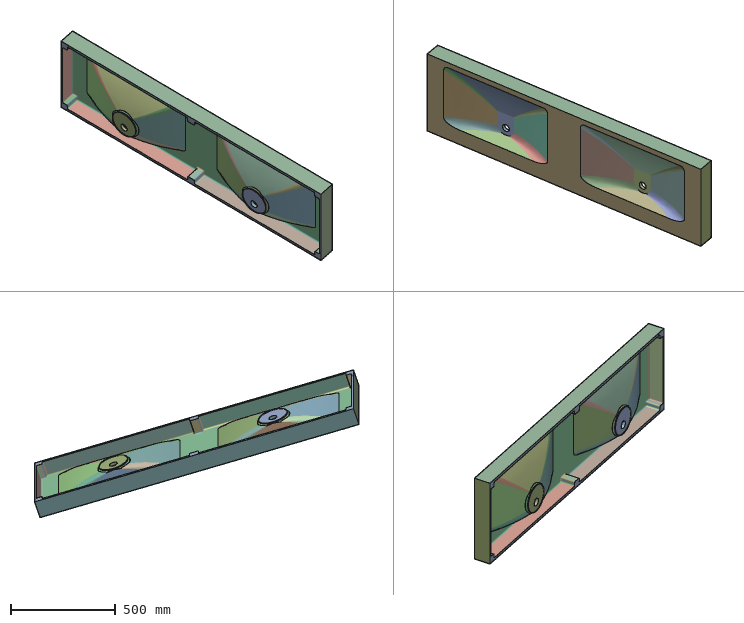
import cadquery as cq

LENGTH = 1602.0
HEIGHT = 460.0
BODY_DEPTH = 87.0
PLATE = 10.0
END_WALL = 10.0
LONG_WALL = 15.0
EDGE_ROUND = 6.0
FLOOR_Y = BODY_DEPTH - PLATE

BLOCK_REACH = 38.0
MIDDLE_BLOCK_WIDTH = 43.0

BASIN_SPACING = LENGTH / 2
BASIN_HALF_WIDTH = 305.0
BASIN_TOP = 430.0
BASIN_BOTTOM = 77.0
PLATEAU_Y = -8.0
PLATEAU_HALF_WIDTH = 48.0
PLATEAU_TOP = 220.0
WALL_BULGE = 0.6
WALL_STEPS = 4
BASIN_WALL = PLATE
BOWL_FLOOR_Y = PLATEAU_Y + BASIN_WALL
LOWER_WALL_LEAN = 10.0
LOWER_ROUND_HEIGHT = 35.0
LOWER_ROUND_WIDTH_MOUTH = 88.0
LOWER_ROUND_WIDTH_PLATEAU = 46.0
UPPER_ROUND_MOUTH = 25.0
UPPER_ROUND_PLATEAU = 3.0
QUARTER_ELLIPSE = 0.552

BOSS_Z = 159.0
BOSS_RADIUS = 72.0
BOSS_BASE_RADIUS = 82.0
BOSS_FOOT_Y = -3.0
BOSS_STEP_Y = -11.0
BOSS_Y = -16.0
OUTLET_Z = 138.0
OUTLET_RADIUS = 20.0


def box(x_min, x_max, y_min, y_max, z_min, z_max):
    size = (x_max - x_min, y_max - y_min, z_max - z_min)
    return cq.Workplane("XY").box(*size, centered=False).translate((x_min, y_min, z_min))


def tray_pocket():
    """Space inside the tray, notched around the corner and middle blocks."""
    half = LENGTH / 2
    pocket = box(END_WALL - half, half - END_WALL, 0, FLOOR_Y, LONG_WALL, HEIGHT - LONG_WALL)
    blocks = (
        (-half, BLOCK_REACH - half),
        (-MIDDLE_BLOCK_WIDTH / 2, MIDDLE_BLOCK_WIDTH / 2),
        (half - BLOCK_REACH, half),
    )
    for x_min, x_max in blocks:
        pocket = pocket.cut(box(x_min, x_max, 0, FLOOR_Y, 0, BLOCK_REACH))
        pocket = pocket.cut(box(x_min, x_max, 0, FLOOR_Y, HEIGHT - BLOCK_REACH, HEIGHT))
    return pocket.edges("|Y").fillet(EDGE_ROUND).faces(">Y").edges().fillet(EDGE_ROUND)


def toward(start, end, fraction):
    return start + (end - start) * fraction


def quarter_round(start, corner, end):
    """Control points of a cubic curve that closely follows a quarter ellipse between two sides."""
    near_start = tuple(toward(a, b, QUARTER_ELLIPSE) for a, b in zip(start, corner))
    near_end = tuple(toward(a, b, QUARTER_ELLIPSE) for a, b in zip(end, corner))
    return [start, near_start, near_end, end]


def basin_body(mouth_y, plateau_y, bottom_z):
    """Dome about X = 0: sections across Y shrink evenly while its walls flatten toward the plateau."""
    sections = []
    for step in range(WALL_STEPS + 1):
        fraction = step / WALL_STEPS
        depth = fraction + WALL_BULGE * fraction * (1 - fraction)
        y = toward(mouth_y, plateau_y, depth)
        side = toward(BASIN_HALF_WIDTH, PLATEAU_HALF_WIDTH, fraction)
        top = toward(BASIN_TOP, PLATEAU_TOP, fraction)
        low = toward(bottom_z, bottom_z + LOWER_WALL_LEAN, fraction)
        upper_round = toward(UPPER_ROUND_MOUTH, UPPER_ROUND_PLATEAU, fraction)
        round_width = toward(LOWER_ROUND_WIDTH_MOUTH, LOWER_ROUND_WIDTH_PLATEAU, fraction)
        low_left = quarter_round((-side, low + LOWER_ROUND_HEIGHT), (-side, low), (round_width - side, low))
        low_right = quarter_round((side - round_width, low), (side, low), (side, low + LOWER_ROUND_HEIGHT))
        top_right = quarter_round((side, top - upper_round), (side, top), (side - upper_round, top))
        top_left = quarter_round((upper_round - side, top), (-side, top), (-side, top - upper_round))
        outline = (
            cq.Workplane("XZ", origin=(0, y, 0))
            .moveTo(*low_left[0])
            .bezier(low_left)
            .lineTo(*low_right[0])
            .bezier(low_right)
            .lineTo(*top_right[0])
            .bezier(top_right)
            .lineTo(*top_left[0])
            .bezier(top_left)
            .close()
        )
        sections.append(outline.val())
    return cq.Workplane(cq.Solid.makeLoft(sections))


def drain_boss():
    """Disc behind the basin on a sloped foot that stays above the lower edge of the disc."""
    foot = (
        cq.Workplane("XZ", origin=(0, BOSS_FOOT_Y, BOSS_Z))
        .circle(BOSS_BASE_RADIUS)
        .workplane(offset=BOSS_FOOT_Y - BOSS_STEP_Y)
        .circle(BOSS_RADIUS)
        .loft()
    )
    room = box(-BOSS_BASE_RADIUS, BOSS_BASE_RADIUS, BOSS_Y, FLOOR_Y, BOSS_Z - BOSS_RADIUS, HEIGHT)
    disc = cq.Workplane("XZ", origin=(0, BOWL_FLOOR_Y, BOSS_Z)).circle(BOSS_RADIUS)
    return foot.intersect(room).union(disc.extrude(BOWL_FLOOR_Y - BOSS_Y))


def outlet():
    profile = cq.Workplane("XZ", origin=(0, BODY_DEPTH, OUTLET_Z)).circle(OUTLET_RADIUS)
    return profile.extrude(BODY_DEPTH - BOSS_Y)


tray = box(-LENGTH / 2, LENGTH / 2, 0, BODY_DEPTH, 0, HEIGHT).cut(tray_pocket())

raised = basin_body(FLOOR_Y, PLATEAU_Y, BASIN_BOTTOM).union(drain_boss())
hollow = basin_body(BODY_DEPTH, BOWL_FLOOR_Y, BASIN_BOTTOM + BASIN_WALL).union(outlet())

result = tray
for basin_x in (-BASIN_SPACING / 2, BASIN_SPACING / 2):
    result = result.union(raised.translate((basin_x, 0, 0))).cut(hollow.translate((basin_x, 0, 0)))